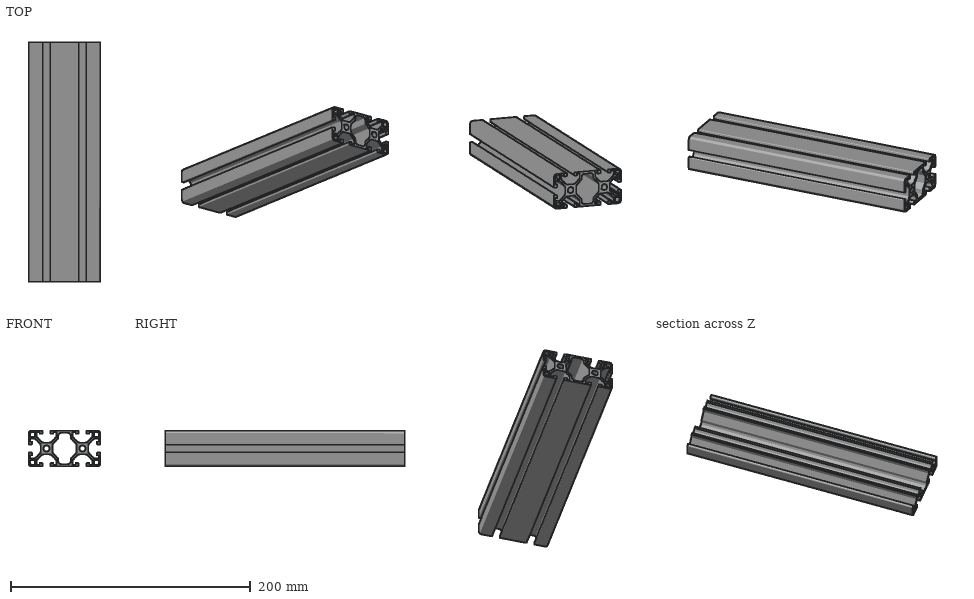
import cadquery as cq
cell = 30.0
length = 200.0
width = 2 * cell
half_cell = cell / 2
outer_corner_radius = 3.0

core_half = 5.0
bore_diameter = 5.0
web_offset = 1.4
web_bend_radius = 3.0
core_corner_radius = 2.4

wall = 1.5
slot_opening_half = 3.25
lip_depth = 2.9
lip_radius = 0.85
lip_root_half = 5.75
slot_half = 8.25

corner_pocket_end = 5.3
corner_pocket_radius = 1.0

hollow_wall = 2.0
hollow_neck_half = 5.15
hollow_corner_radius = 2.5


def extrude_full_length(sketch):
    """Extrude an XZ sketch over the whole length, centred on Y = 0."""
    return sketch.extrude(length / 2, both=True)


def round_edges_at_height(body, z, radius):
    """Fillet the lengthwise edges of a body that lie at height z."""
    margin = radius / 10
    at_height = cq.selectors.BoxSelector((-width, -length, z - margin), (width, length, z + margin))
    return body.edges("|Y").edges(at_height).fillet(radius)


def slot_cutter():
    """T-slot of a cell centred on the origin, open toward +Z."""
    face = half_cell
    lip_z = face - lip_depth
    bend_z = slot_half + web_offset
    floor_half = core_half - web_offset
    right_half = extrude_full_length(
        cq.Workplane("XZ")
        .moveTo(0, face)
        .lineTo(slot_opening_half + lip_radius, face)
        .radiusArc((slot_opening_half, face - lip_radius), -lip_radius)
        .lineTo(slot_opening_half, lip_z + lip_radius)
        .radiusArc((slot_opening_half + lip_radius, lip_z), -lip_radius)
        .lineTo(lip_root_half, lip_z)
        .lineTo(lip_root_half, face - wall)
        .lineTo(slot_half, face - wall)
        .lineTo(slot_half, bend_z)
        .lineTo(floor_half, core_half)
        .lineTo(0, core_half)
        .close()
    )
    cutter = right_half.union(right_half.mirror("YZ")).clean()
    cutter = round_edges_at_height(cutter, core_half, core_corner_radius)
    return round_edges_at_height(cutter, bend_z, web_bend_radius)


def hollow_cutter():
    """Large hollow on the part axis, bounded by the cores and their webs."""
    core_x = half_cell - core_half
    top_z = half_cell - hollow_wall
    bend_z = half_cell - hollow_neck_half - web_offset
    core_corner_z = core_half - web_offset
    quarter = [
        (core_x, core_corner_z),
        (hollow_neck_half, bend_z),
        (hollow_neck_half, top_z),
    ]
    upper = quarter + [(-x, z) for x, z in reversed(quarter)]
    lower = [(-x, -z) for x, z in upper]
    cutter = extrude_full_length(cq.Workplane("XZ").polyline(upper + lower).close())
    for side in (-1, 1):
        cutter = round_edges_at_height(cutter, side * core_corner_z, core_corner_radius)
        cutter = round_edges_at_height(cutter, side * bend_z, web_bend_radius)
        cutter = round_edges_at_height(cutter, side * top_z, hollow_corner_radius)
    return cutter


def corner_pocket_cutter(x_side, z_side):
    """Closed square pocket, rounded at its outermost corner."""
    size = corner_pocket_end - wall
    middle = (wall + corner_pocket_end) / 2
    pocket = cq.Workplane("XY").box(size, length, size)
    x_selector = ">X" if x_side > 0 else "<X"
    z_selector = ">Z" if z_side > 0 else "<Z"
    pocket = pocket.edges(f"({x_selector}) and ({z_selector})").fillet(corner_pocket_radius)
    return pocket.translate((x_side * (width / 2 - middle), 0, z_side * (half_cell - middle)))


result = cq.Workplane("XY").box(width, length, cell).edges("|Y").fillet(outer_corner_radius)
result = result.cut(hollow_cutter())

for x_side in (-1, 1):
    cell_x = x_side * half_cell
    for angle in (0, 180, x_side * 90):
        slot = slot_cutter().rotate((0, 0, 0), (0, 1, 0), angle)
        result = result.cut(slot.translate((cell_x, 0, 0)))

    bore = extrude_full_length(cq.Workplane("XZ").center(cell_x, 0).circle(bore_diameter / 2))
    result = result.cut(bore)

    for z_side in (-1, 1):
        result = result.cut(corner_pocket_cutter(x_side, z_side))